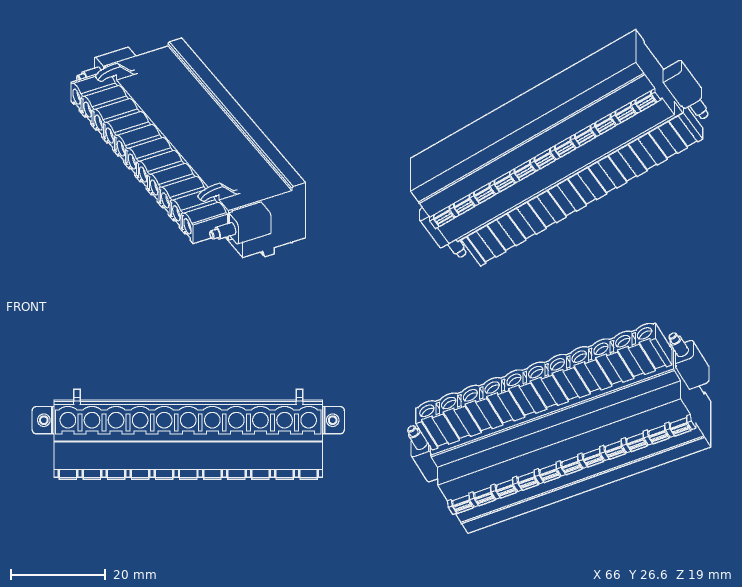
import cadquery as cq
POLES = 11
PITCH = 5.1
AXIS_Z = 12.5

BODY_WIDTH = 56.8
BODY_BACK = 18.4
BODY_BOTTOM = 2.05
DECK_Z = 15.8
STEP_Y = 3.45
STEP_Z = 7.85
STEP_CHAMFER = 0.25
RIB_FRONT = 15.1
RIB_TOP = 16.8
RIB_CHAMFER = 0.3
SEAM_BEAD_RADIUS = 0.2

PLUG_WIDTH = 56.0
PLUG_LENGTH = 8.2
PLUG_EMBED = 0.65
PLUG_BOTTOM = 9.6
VALLEY_Z = 14.6
HOLE_RADIUS = 1.65
HOLE_DEPTH = 1.0
SLIT_WIDTH = 0.8
SLIT_BOTTOM = 10.2
SLIT_TOP = 13.8
RELIEF_WIDTH = 2.5
RELIEF_HEIGHT = 0.65

EAR_SPAN = 66.05
EAR_LENGTH = 7.8
EAR_HEIGHT = 5.8
EAR_RADIUS = 1.0
EAR_NOTCH_WIDTH = 0.25
EAR_NOTCH_LIP = 0.2
EAR_NOTCH_DEPTH = 0.85

CROWN_RADIUS = EAR_HEIGHT / 2

SCREW_X = 30.5
SHANK_RADIUS = 1.3
SHANK_LENGTH = 3.6
TIP_RADIUS = 0.9
TIP_END = 5.15
TIP_CHAMFER = 0.2

HOOK_X = 23.5
HOOK_WIDTH = 1.4
HOOK_TOP = 19.0
HOOK_UNDERSIDE = 17.1

FOOT_WIDTH = 3.7
FOOT_FRONT = 8.7
FOOT_BACK = 10.95
FOOT_SOLE_Z = 0.4
FOOT_PAD_LENGTH = 0.65
FOOT_PAD_INSET = 0.1
SPACER_FRONT = 8.25
SPACER_CLEARANCE = 0.2

POLE_XS = [(i - (POLES - 1) / 2) * PITCH for i in range(POLES)]
GAP_XS = [x + PITCH / 2 for x in POLE_XS[:-1]]


def box(x0, x1, y0, y1, z0, z1):
    """Box between two opposite corners."""
    return cq.Workplane("XY").box(x1 - x0, y1 - y0, z1 - z0, centered=False).translate((x0, y0, z0))


def side_profile(points, width, x_center=0):
    """Extrude a closed (Y, Z) outline along X, centred on x_center."""
    sketch = cq.Workplane("YZ", origin=(x_center, 0, 0)).polyline(points).close()
    return sketch.extrude(width / 2, both=True)


def rod(x, radius, y_front, y_back):
    """Cylinder along Y at the common axis height."""
    plane = cq.Workplane("XZ", origin=(x, y_back, AXIS_Z))
    return plane.circle(radius).extrude(y_back - y_front)


def make_body():
    """Housing with its stepped front, the rear rib and the bead underneath."""
    outline = [
        (STEP_CHAMFER, STEP_Z),
        (0, STEP_Z + STEP_CHAMFER),
        (0, DECK_Z),
        (RIB_FRONT, DECK_Z),
        (RIB_FRONT, RIB_TOP - RIB_CHAMFER),
        (RIB_FRONT + RIB_CHAMFER, RIB_TOP),
        (BODY_BACK, RIB_TOP),
        (BODY_BACK, BODY_BOTTOM),
        (STEP_Y, BODY_BOTTOM),
        (STEP_Y, STEP_Z),
    ]
    bead = (
        cq.Workplane("YZ", origin=(0, RIB_FRONT, BODY_BOTTOM))
        .circle(SEAM_BEAD_RADIUS)
        .extrude(BODY_WIDTH / 2, both=True)
    )
    return side_profile(outline, BODY_WIDTH).union(bead)


def make_plug():
    """Row of crowned sockets, relieved underneath each pole and slit between neighbours."""
    half = PLUG_WIDTH / 2
    plug = box(-half, half, -PLUG_LENGTH, PLUG_EMBED, PLUG_BOTTOM, VALLEY_Z)
    above_valley = box(-half, half, -PLUG_LENGTH, PLUG_EMBED, VALLEY_Z, DECK_Z)
    for x in POLE_XS:
        crown = rod(x, CROWN_RADIUS, -PLUG_LENGTH, PLUG_EMBED).intersect(above_valley)
        plug = plug.union(crown)
    for x in POLE_XS:
        x0 = x - RELIEF_WIDTH / 2
        x1 = x + RELIEF_WIDTH / 2
        plug = plug.cut(box(x0, x1, -PLUG_LENGTH, 0, PLUG_BOTTOM, PLUG_BOTTOM + RELIEF_HEIGHT))
        plug = plug.cut(rod(x, HOLE_RADIUS, -PLUG_LENGTH, HOLE_DEPTH - PLUG_LENGTH))
    for x in GAP_XS:
        x0 = x - SLIT_WIDTH / 2
        x1 = x + SLIT_WIDTH / 2
        plug = plug.cut(box(x0, x1, -PLUG_LENGTH, 0, SLIT_BOTTOM, SLIT_TOP))
    return plug


def make_ears():
    """Flange ears, formed as one rounded bar through the housing, notched beside its end walls."""
    half_height = EAR_HEIGHT / 2
    bar = box(-EAR_SPAN / 2, EAR_SPAN / 2, 0, EAR_LENGTH, AXIS_Z - half_height, AXIS_Z + half_height)
    bar = bar.edges("|Y").fillet(EAR_RADIUS)
    for side in (-1, 1):
        root = side * BODY_WIDTH / 2
        wall = root + side * EAR_NOTCH_WIDTH
        notch = (
            cq.Workplane("XY")
            .moveTo(root, 0)
            .lineTo(wall + side * EAR_NOTCH_LIP, 0)
            .lineTo(wall, EAR_NOTCH_LIP)
            .lineTo(wall, EAR_NOTCH_DEPTH)
            .lineTo(root, EAR_NOTCH_DEPTH)
            .close()
            .extrude(RIB_TOP)
        )
        bar = bar.cut(notch)
    return bar


def make_screw(x):
    """Stepped flange screw pointing forward from an ear."""
    tip = rod(x, TIP_RADIUS, -TIP_END, 0).faces("<Y").chamfer(TIP_CHAMFER)
    return rod(x, SHANK_RADIUS, -SHANK_LENGTH, 0).union(tip)


def make_hook(x):
    """Latch hook: a ramp rising from the deck into a curved beak ahead of the housing face."""
    return (
        cq.Workplane("YZ", origin=(x, 0, 0))
        .moveTo(0, DECK_Z)
        .lineTo(4.95, DECK_Z)
        .threePointArc((4.2, 15.9), (3.55, 16.4))
        .lineTo(0.9, HOOK_TOP)
        .lineTo(-0.45, HOOK_TOP)
        .threePointArc((-1.9, 18.8), (-3.25, 18.4))
        .threePointArc((-3.9, 17.95), (-4.4, 17.3))
        .lineTo(-3.5, 16.6)
        .threePointArc((-2.45, 17.05), (-1.05, HOOK_UNDERSIDE))
        .lineTo(0, HOOK_UNDERSIDE)
        .close()
        .extrude(HOOK_WIDTH / 2, both=True)
    )


def make_foot(x):
    """Square foot under one pole, standing on two narrow pads."""
    x0 = x - FOOT_WIDTH / 2
    x1 = x + FOOT_WIDTH / 2
    foot = box(x0, x1, FOOT_FRONT, FOOT_BACK, FOOT_SOLE_Z, BODY_BOTTOM)
    for pad_front in (FOOT_FRONT + FOOT_PAD_INSET, FOOT_BACK - FOOT_PAD_INSET - FOOT_PAD_LENGTH):
        foot = foot.union(box(x0, x1, pad_front, pad_front + FOOT_PAD_LENGTH, 0, FOOT_SOLE_Z))
    return foot


def make_foot_spacers():
    """Ramped blocks between the feet, and half blocks at the ends, kept clear of every foot."""
    outline = [
        (FOOT_BACK, BODY_BOTTOM),
        (FOOT_BACK, FOOT_SOLE_Z),
        (FOOT_FRONT, FOOT_SOLE_Z),
        (SPACER_FRONT, BODY_BOTTOM),
    ]
    spacers = side_profile(outline, BODY_WIDTH)
    clear_half = FOOT_WIDTH / 2 + SPACER_CLEARANCE
    for x in POLE_XS:
        spacers = spacers.cut(box(x - clear_half, x + clear_half, SPACER_FRONT, FOOT_BACK, 0, BODY_BOTTOM))
    return spacers


result = make_body().union(make_ears()).union(make_plug()).union(make_foot_spacers())
for side in (-1, 1):
    result = result.union(make_screw(side * SCREW_X)).union(make_hook(side * HOOK_X))
for pole_x in POLE_XS:
    result = result.union(make_foot(pole_x))